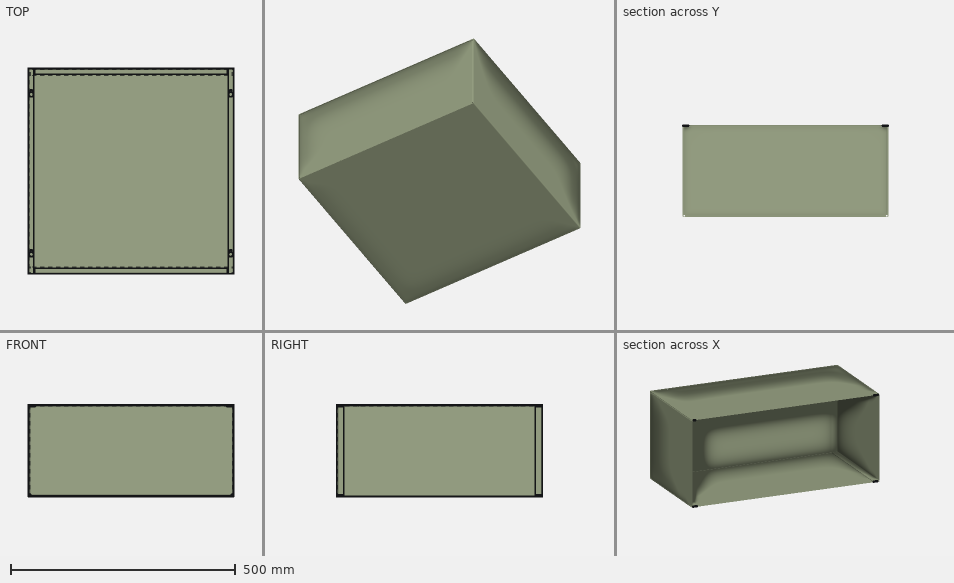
import cadquery as cq

WIDTH = 457.0
LENGTH = 457.0
HEIGHT = 205.0

SHEET = 1.5
BEND_OUTER = 1.5 * SHEET
BEND_INNER = BEND_OUTER - SHEET
TOP_LIP = 13.0
END_FLANGE = 15.5
LIP_GAP = 2.0
RELIEF = 3 * SHEET

SCREW_INSET = 7.0
SCREW_PITCH = 355.5
SCREW_DIAMETER = 5.5
KEY_DIAMETER = 10.5
KEY_DROP = 7.5

PLATE_BOTTOM = HEIGHT - SHEET
LIP_BOTTOM = PLATE_BOTTOM - SHEET
HALF_WIDTH = WIDTH / 2
HALF_LENGTH = LENGTH / 2
SCREW_POINTS = [
    (side * (HALF_WIDTH - SCREW_INSET), end * SCREW_PITCH / 2) for side in (-1, 1) for end in (-1, 1)
]


def block(x_range, y_range, z_range):
    """Box between the given limits on each axis."""
    (x0, x1), (y0, y1), (z0, z1) = x_range, y_range, z_range
    return cq.Workplane("XY").box(x1 - x0, y1 - y0, z1 - z0, centered=False).translate((x0, y0, z0))


def both_ways(reach):
    return (-reach, reach)


def make_mounting_plate():
    """Flat plate with a keyhole at each screw position, narrow end toward +Y."""
    plate = block(both_ways(HALF_WIDTH), both_ways(HALF_LENGTH), (PLATE_BOTTOM, HEIGHT))
    layout = cq.Workplane("XY").workplane(offset=PLATE_BOTTOM)
    opening_points = [(x, y - KEY_DROP) for x, y in SCREW_POINTS]
    neck_points = [(x, y - KEY_DROP / 2) for x, y in SCREW_POINTS]
    neck_length = KEY_DROP + SCREW_DIAMETER
    openings = layout.pushPoints(opening_points).circle(KEY_DIAMETER / 2).extrude(SHEET)
    necks = layout.pushPoints(neck_points).slot2D(neck_length, SCREW_DIAMETER, 90).extrude(SHEET)
    return plate.cut(openings).cut(necks)


def make_wrapper():
    """Bent sheet: floor, -X and +X walls, and an inward lip along the top of each wall."""
    outside = block(both_ways(HALF_WIDTH), both_ways(HALF_LENGTH), (0, PLATE_BOTTOM))
    inside = block(both_ways(HALF_WIDTH - SHEET), both_ways(HALF_LENGTH), (SHEET, LIP_BOTTOM))
    wrapper = outside.edges("|Y").fillet(BEND_OUTER).cut(inside.edges("|Y").fillet(BEND_INNER))

    top_opening = block(both_ways(HALF_WIDTH - TOP_LIP), both_ways(HALF_LENGTH), (LIP_BOTTOM, PLATE_BOTTOM))
    screw_holes = (
        cq.Workplane("XY")
        .workplane(offset=LIP_BOTTOM)
        .pushPoints(SCREW_POINTS)
        .circle(SCREW_DIAMETER / 2)
        .extrude(SHEET)
    )
    return wrapper.cut(top_opening).cut(screw_holes)


def make_front_panel():
    """End panel at -Y: a face inside the wrapper with flanges bent back on all four sides."""
    face_y = -HALF_LENGTH
    flange_end_y = face_y + END_FLANGE
    outer_half = HALF_WIDTH - SHEET

    outside = block(both_ways(outer_half), (face_y, flange_end_y), (SHEET, PLATE_BOTTOM))
    inside = block(
        both_ways(outer_half - SHEET), (face_y + SHEET, flange_end_y + SHEET), (2 * SHEET, LIP_BOTTOM)
    )
    panel = outside.faces("<Y").edges().fillet(BEND_OUTER)
    panel = panel.cut(inside.faces("<Y").edges().fillet(BEND_INNER))

    top_band = (HEIGHT - RELIEF, HEIGHT)
    panel = panel.cut(block(both_ways(HALF_WIDTH), (face_y + TOP_LIP, flange_end_y), top_band))

    depth = (face_y, flange_end_y)
    lip_clearance = TOP_LIP + LIP_GAP
    for reach, band in ((lip_clearance, top_band), (RELIEF, (0, RELIEF))):
        panel = panel.cut(block((-HALF_WIDTH, -HALF_WIDTH + reach), depth, band))
        panel = panel.cut(block((HALF_WIDTH - reach, HALF_WIDTH), depth, band))
    return panel


mounting_plate = make_mounting_plate()
wrapper = make_wrapper()
front_panel = make_front_panel()
end_panels = [front_panel, front_panel.mirror("XZ")]

result = cq.Compound.makeCompound(
    [mounting_plate.val(), wrapper.val(), *[panel.val() for panel in end_panels]]
)